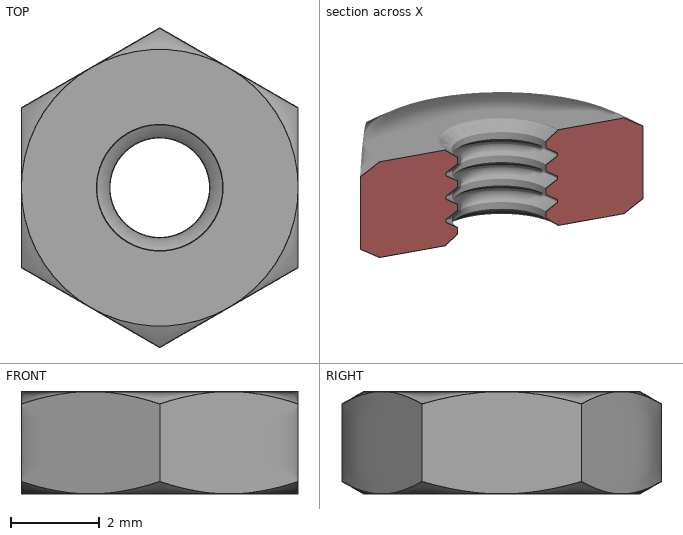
import cadquery as cq
import math

ACROSS_FLATS = 6.247
THICKNESS = 2.31
SIDES = 6
HALF_SIDE_ANGLE = 180.0 / SIDES
CORNER_CHAMFER_ANGLE = 30.0

CREST_DIAMETER = 2.25
ROOT_DIAMETER = 2.845
PITCH = 0.56
CREST_COUNT = 4
CREST_FLAT = 0.16
FLANK_ANGLE = 30.0
MOUTH_DIAMETER = 2.86
MOUTH_BREAK_HEIGHT = 0.02

flat_radius = ACROSS_FLATS / 2
corner_radius = flat_radius / math.cos(math.radians(HALF_SIDE_ANGLE))
chamfer_height = (corner_radius - flat_radius) * math.tan(math.radians(CORNER_CHAMFER_ANGLE))
crest_radius = CREST_DIAMETER / 2
root_radius = ROOT_DIAMETER / 2
mouth_radius = MOUTH_DIAMETER / 2
flank_height = (root_radius - crest_radius) * math.tan(math.radians(FLANK_ANGLE))
first_crest_center = (THICKNESS - (CREST_COUNT - 1) * PITCH) / 2


def revolve_about_z(profile_points):
    """Revolve a closed (radius, z) profile a full turn about the Z axis."""
    profile = cq.Workplane("XZ").polyline(profile_points).close()
    return profile.revolve(360, (0, 0, 0), (0, 1, 0))


def hex_body():
    """Hexagonal prism with two flats facing +X and -X."""
    prism = cq.Workplane("XY").polygon(SIDES, 2 * corner_radius).extrude(THICKNESS)
    return prism.rotate((0, 0, 0), (0, 0, 1), HALF_SIDE_ANGLE)


def chamfer_envelope():
    """Turned blank whose conical ends bevel the hexagon corners."""
    return revolve_about_z([
        (0, 0),
        (flat_radius, 0),
        (corner_radius, chamfer_height),
        (corner_radius, THICKNESS - chamfer_height),
        (flat_radius, THICKNESS),
        (0, THICKNESS),
    ])


def threaded_bore():
    """Bore with flat-crested rings and an edge break at the mouth of each end."""
    points = [(0, 0), (mouth_radius, 0), (root_radius, MOUTH_BREAK_HEIGHT)]
    for index in range(CREST_COUNT):
        center = first_crest_center + index * PITCH
        crest_bottom = center - CREST_FLAT / 2
        crest_top = center + CREST_FLAT / 2
        if index > 0:
            points.append((root_radius, crest_bottom - flank_height))
        points.append((crest_radius, crest_bottom))
        points.append((crest_radius, crest_top))
        if index < CREST_COUNT - 1:
            points.append((root_radius, crest_top + flank_height))
    points.append((root_radius, THICKNESS - MOUTH_BREAK_HEIGHT))
    points.append((mouth_radius, THICKNESS))
    points.append((0, THICKNESS))
    return revolve_about_z(points)


result = hex_body().intersect(chamfer_envelope()).cut(threaded_bore())